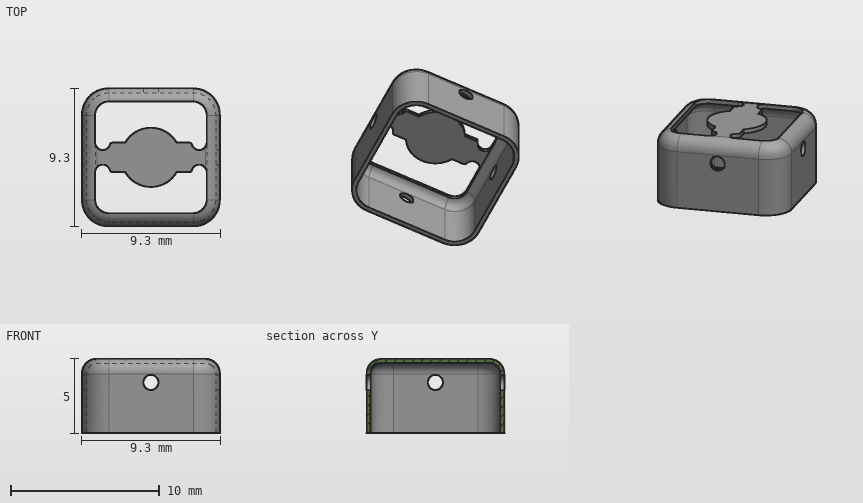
import cadquery as cq
import math

side = 9.3
height = 5.0
corner_radius = 1.8
top_fillet = 1.0
wall = 0.3

lip_width = 0.9
disc_diameter = 4.0
bridge_width = 2.0
notch_radius = 0.5
notch_corner_radius = 0.195

hole_diameter = 1.0
hole_drop = 1.6

opening_half = side / 2 - lip_width
cavity_height = height - wall


def rounded_prism(inset, base, depth):
    """Square prism parallel to the outer wall, moved inward by inset."""
    width = side - 2 * inset
    return (
        cq.Workplane("XY", origin=(0, 0, base))
        .rect(width, width)
        .extrude(depth)
        .edges("|Z")
        .fillet(corner_radius - inset)
    )


def shell():
    """Outer body with a rounded top rim, hollowed and open at the bottom."""
    body = rounded_prism(0, 0, height).faces(">Z").edges().fillet(top_fillet)
    cavity = rounded_prism(wall, 0, cavity_height)
    cavity = cavity.faces(">Z").edges().fillet(top_fillet - wall)
    return body.cut(cavity)


def bridge():
    """Flat bar with a central disc, kept from the roof; a round notch sits at each bar corner."""
    notch_x = opening_half - notch_radius
    edge_y = bridge_width / 2
    arc_offset = math.sqrt((notch_radius + notch_corner_radius) ** 2 - notch_corner_radius**2)
    arc_x = notch_x - arc_offset
    arc_y = edge_y - notch_corner_radius
    touch = notch_radius / (notch_radius + notch_corner_radius)
    touch_x = notch_x - arc_offset * touch
    touch_y = edge_y - notch_corner_radius * touch
    mid_angle = (math.pi / 2 + math.atan2(notch_corner_radius, arc_offset)) / 2
    arc_mid = (
        arc_x + notch_corner_radius * math.cos(mid_angle),
        arc_y + notch_corner_radius * math.sin(mid_angle),
    )
    quarter = (
        cq.Workplane("XY", origin=(0, 0, cavity_height))
        .moveTo(0, 0)
        .lineTo(0, edge_y)
        .lineTo(arc_x, edge_y)
        .threePointArc(arc_mid, (touch_x, touch_y))
        .threePointArc((notch_x, edge_y - notch_radius), (opening_half, edge_y))
        .lineTo(opening_half, 0)
        .close()
        .extrude(wall)
    )
    half = quarter.union(quarter.mirror("XZ"))
    disc = (
        cq.Workplane("XY", origin=(0, 0, cavity_height))
        .circle(disc_diameter / 2)
        .extrude(wall)
    )
    return half.union(half.mirror("YZ")).union(disc)


def side_hole(plane):
    """Round cutter through two opposite walls."""
    return (
        cq.Workplane(plane)
        .center(0, height - hole_drop)
        .circle(hole_diameter / 2)
        .extrude(side, both=True)
    )


opening = rounded_prism(lip_width, 0, height).cut(bridge())
result = shell().cut(opening)
for plane in ("XZ", "YZ"):
    result = result.cut(side_hole(plane))